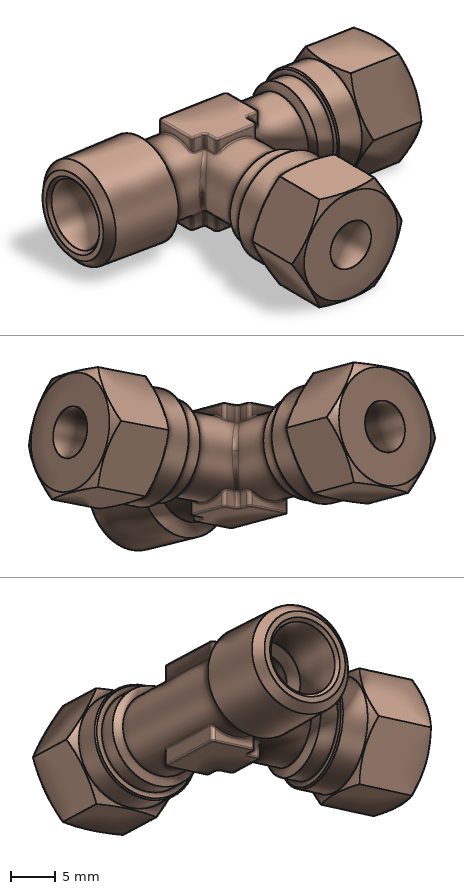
import cadquery as cq
import math

swivel_end = 25.35
male_end = 20.0
body_radius = 5.0
bore_radius = 3.0

nut_across_flats = 14.0
nut_length = 8.47
nut_chamfer_angle = 30
skirt_radius = 13.75 / 2
skirt_length = 3.5
skirt_edge = 0.2
collar_radius = 12.0 / 2
collar_length = 2.85
collar_slope_angle = 30

male_root_radius = 6.6
male_tip_radius = 6.5
male_chamfer_length = 1.0
male_chamfer_depth = 1.05
male_length = 10.05
male_shoulder_length = 1.0
mouth_radius = 4.7
socket_radius = 4.3
socket_depth = 7.7
drill_point_angle = 118

pad_height = 6.07
pad_half_width = 2.95
pad_half_length = 5.0
arm_reach = 5.0
arm_half_width = 3.0
pad_corner_radius = 0.45
pad_top_radius = 0.23
pad_joint_radius = 0.2
pipe_joint_radius = 0.5


def revolve_along_y(profile):
    """Turn a closed (radius, distance) profile about the Y axis."""
    return cq.Workplane("XY").polyline(profile).close().revolve(360, (0, 0, 0), (0, 1, 0))


def swivel_nut():
    """Hexagon nut, skirt and collar at the +Y end of a pipe."""
    corner_radius = nut_across_flats / 2 / math.cos(math.pi / 6)
    chamfer = (corner_radius - skirt_radius) * math.tan(math.radians(nut_chamfer_angle))
    nut_back = swivel_end - nut_length
    skirt_back = nut_back - skirt_length
    collar_back = skirt_back - collar_length
    slope = (collar_radius - body_radius) * math.tan(math.radians(collar_slope_angle))

    hexagon = (
        cq.Workplane("XZ", origin=(0, swivel_end, 0))
        .polygon(6, 2 * corner_radius)
        .extrude(nut_length)
    )
    chamfered_blank = revolve_along_y([
        (0, nut_back),
        (skirt_radius, nut_back),
        (corner_radius, nut_back + chamfer),
        (corner_radius, swivel_end - chamfer),
        (skirt_radius, swivel_end),
        (0, swivel_end),
    ])
    skirt_and_collar = revolve_along_y([
        (0, collar_back),
        (body_radius, collar_back),
        (collar_radius, collar_back + slope),
        (collar_radius, skirt_back),
        (skirt_radius - skirt_edge, skirt_back),
        (skirt_radius, skirt_back + skirt_edge),
        (skirt_radius, nut_back),
        (0, nut_back),
    ])
    return hexagon.intersect(chamfered_blank).union(skirt_and_collar)


def male_thread():
    """Tapered male end on the -Y side of the run."""
    shoulder = -male_end + male_length
    return revolve_along_y([
        (0, -male_end),
        (male_tip_radius - male_chamfer_depth, -male_end),
        (male_tip_radius, -male_end + male_chamfer_length),
        (male_root_radius, shoulder),
        (body_radius, shoulder + male_shoulder_length),
        (0, shoulder + male_shoulder_length),
    ])


def wrench_pads():
    """One T-shaped block through the crossing whose ends form both pads."""
    block = (
        cq.Workplane("XY")
        .rect(2 * pad_half_width, 2 * pad_half_length)
        .extrude(pad_height, both=True)
    )
    arm = (
        cq.Workplane("XY")
        .center(arm_reach / 2, 0)
        .rect(arm_reach, 2 * arm_half_width)
        .extrude(pad_height, both=True)
    )
    return (
        block.union(arm)
        .edges("|Z")
        .fillet(pad_corner_radius)
        .faces("|Z")
        .edges()
        .fillet(pad_top_radius)
    )


def pipe_body():
    """The two crossing pipes with the pads, blended where they meet."""
    swivel_side = swivel_end - nut_length - skirt_length - collar_length
    male_side = male_end - male_length - male_shoulder_length
    run_pipe = (
        cq.Workplane("XZ", origin=(0, swivel_side, 0))
        .circle(body_radius)
        .extrude(swivel_side + male_side)
    )
    branch_pipe = cq.Workplane("YZ").circle(body_radius).extrude(swivel_side)
    plain_body = run_pipe.union(branch_pipe).union(wrench_pads())
    reach = body_radius + 2 * pipe_joint_radius
    joint_zone = cq.selectors.BoxSelector((-reach, -reach, -reach), (reach, reach, reach))

    blended = (
        plain_body.edges(joint_zone)
        .filter(lambda edge: edge.geomType() == "ELLIPSE")
        .fillet(pipe_joint_radius)
    )
    return (
        blended.edges(joint_zone)
        .filter(lambda edge: edge.geomType() == "CIRCLE")
        .filter(lambda edge: math.isclose(edge.radius(), body_radius, rel_tol=1e-4))
        .fillet(pad_joint_radius)
    )


def run_bore():
    """Bore through the run, widened to a socket with a countersunk mouth in the male end."""
    mouth_depth = mouth_radius - socket_radius
    socket_floor = -male_end + socket_depth
    cone_height = (socket_radius - bore_radius) / math.tan(math.radians(drill_point_angle / 2))
    return revolve_along_y([
        (0, -male_end),
        (mouth_radius, -male_end),
        (socket_radius, -male_end + mouth_depth),
        (socket_radius, socket_floor),
        (bore_radius, socket_floor + cone_height),
        (bore_radius, swivel_end),
        (0, swivel_end),
    ])


branch_bore = cq.Workplane("YZ").circle(bore_radius).extrude(swivel_end)

result = (
    pipe_body()
    .union(swivel_nut())
    .union(swivel_nut().rotate((0, 0, 0), (0, 0, 1), -90))
    .union(male_thread())
    .cut(run_bore())
    .cut(branch_bore)
)